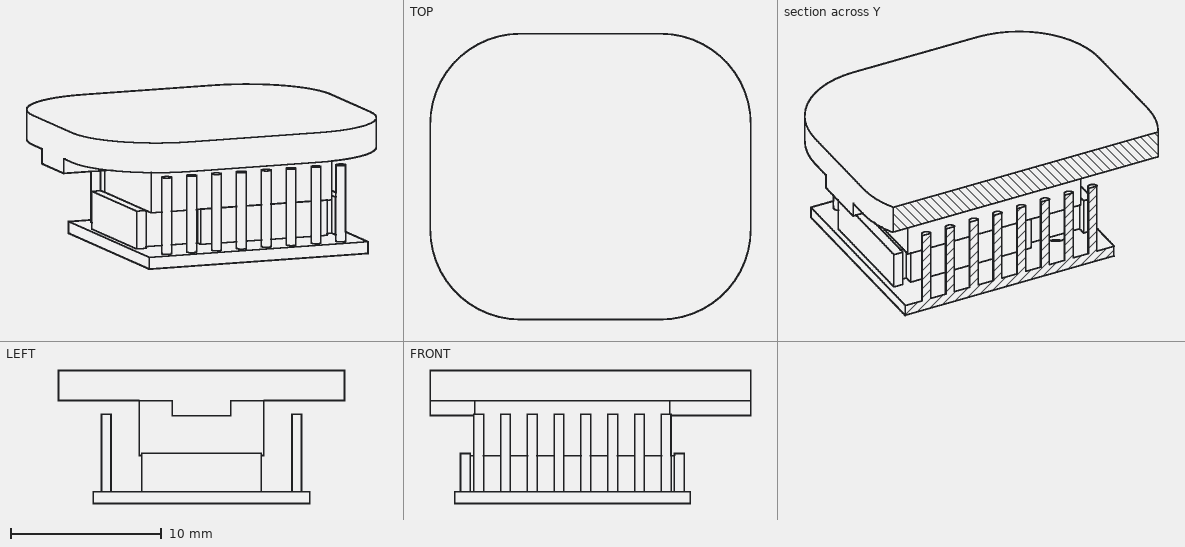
import cadquery as cq

board_length = 15.65
board_width = 14.4
board_thickness = 0.8

board_hole_diameter = 1.4
board_hole_x = 5.0
board_hole_y = -3.4

pin_diameter = 0.65
pin_height = 5.15
pins_per_row = 8
pin_pitch = 1.78
pin_row_spacing = 12.65

seat_width = 7.96
core_width = 6.8
shoulder_start_x = -6.2
shoulder_end_x = 2.85
seat_height = 2.4
wall_height = 2.55
wall_thickness = 0.67
wall_outer_span = 14.88
wall_inner_span = wall_outer_span - 2 * wall_thickness

plate_length = 21.3
plate_width = 19.0
plate_thickness = 2.0
plate_corner_radius = 6.0
plate_offset_x = 1.2
rib_width = 3.9
rib_depth = 1.0
stem_length = 12.95
stem_width = 8.28

overall_height = 8.85
board_top = board_thickness
seat_top = board_top + seat_height
plate_bottom = overall_height - plate_thickness


def block(length, width, bottom, height, center_x=0.0):
    """Upright box centred on Y = 0, standing on the level `bottom`."""
    return (
        cq.Workplane("XY", origin=(center_x, 0, bottom))
        .rect(length, width)
        .extrude(height)
    )


def make_pins():
    """Both rows of round pins, each pin starting at the board's upper face."""
    return (
        cq.Workplane("XY", origin=(0, 0, board_top))
        .rarray(pin_pitch, pin_row_spacing, pins_per_row, 2)
        .circle(pin_diameter / 2)
        .extrude(pin_height)
    )


def make_board():
    """Plain rectangular board with its one through hole."""
    board = block(board_length, board_width, 0, board_thickness)
    hole = (
        cq.Workplane("XY", origin=(board_hole_x, board_hole_y, 0))
        .circle(board_hole_diameter / 2)
        .extrude(board_thickness)
    )
    return board.cut(hole)


def make_base():
    """Board carrying the seat core, the shoulder block, the end walls and the pins."""
    core = block(wall_inner_span, core_width, board_top, seat_height)

    shoulder_length = shoulder_end_x - shoulder_start_x
    shoulder_center_x = (shoulder_start_x + shoulder_end_x) / 2
    shoulder = block(shoulder_length, seat_width, board_top, seat_height, shoulder_center_x)

    base = make_board().union(core).union(shoulder)

    wall_center_x = (wall_outer_span - wall_thickness) / 2
    for side in (-1, 1):
        wall = block(wall_thickness, seat_width, board_top, wall_height, side * wall_center_x)
        base = base.union(wall)

    return base.union(make_pins())


def make_key():
    """Rounded plate, offset in X from the stem, with a rib along its underside."""
    plate = block(plate_length, plate_width, plate_bottom, plate_thickness, plate_offset_x)
    plate = plate.edges("|Z").fillet(plate_corner_radius)
    rib = block(plate_length, rib_width, plate_bottom - rib_depth, rib_depth, plate_offset_x)
    stem = block(stem_length, stem_width, seat_top, plate_bottom - seat_top)
    return plate.union(rib).union(stem)


base = make_base()
key = make_key()

result = cq.Compound.makeCompound([*base.solids().vals(), *key.solids().vals()])